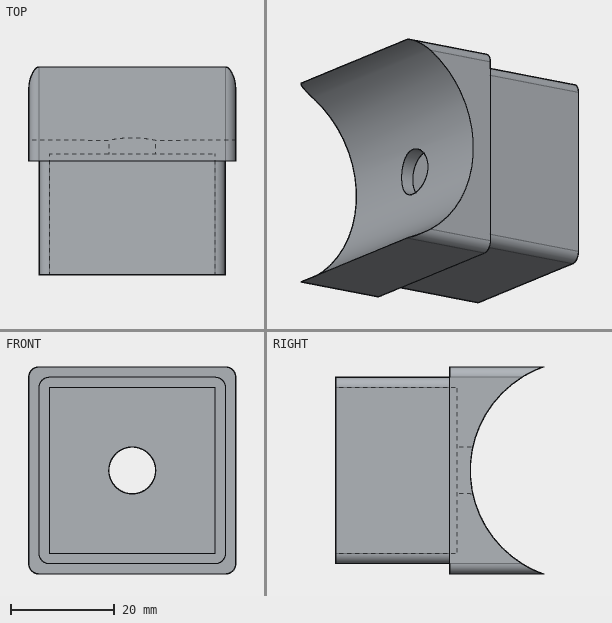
import cadquery as cq
import math

head_width = 40.0
tube_radius = 21.2
web_thickness = 4.0

plug_width = 36.0
plug_length = 22.0
plug_wall = 2.0
pocket_depth = 23.4

corner_radius = 2.0
screw_hole_diameter = 9.0

half_width = head_width / 2
saddle_depth = tube_radius - math.sqrt(tube_radius**2 - half_width**2)
head_length = web_thickness + saddle_depth
tube_axis_y = web_thickness + tube_radius
pocket_width = plug_width - 2 * plug_wall


def square_bar(width, y_start, y_end):
    """Square bar centred on the Y axis, from y_start to y_end."""
    length = y_end - y_start
    return cq.Workplane("XY").box(width, length, width).translate((0, (y_start + y_end) / 2, 0))


def rounded_bar(width, y_start, y_end):
    """Square bar with its four long edges rounded."""
    return square_bar(width, y_start, y_end).edges("|Y").fillet(corner_radius)


def cylinder_along(direction, radius, length, center):
    """Cylinder of the given length, centred on a point."""
    axis = cq.Vector(*direction)
    start = cq.Vector(*center) - axis * (length / 2)
    return cq.Workplane(cq.Solid.makeCylinder(radius, length, start, axis))


def make_head():
    """Rounded square block with a concave saddle across its +Y end."""
    block = rounded_bar(head_width, 0, head_length)
    tube = cylinder_along((1, 0, 0), tube_radius, 2 * head_width, (0, tube_axis_y, 0))
    return block.cut(tube)


def make_plug():
    return rounded_bar(plug_width, -plug_length, 0)


def make_pocket():
    """Square cavity open at the plug's free end."""
    return square_bar(pocket_width, -plug_length, pocket_depth - plug_length)


def make_screw_hole():
    through_length = 2 * (plug_length + head_length)
    return cylinder_along((0, 1, 0), screw_hole_diameter / 2, through_length, (0, 0, 0))


result = make_head().union(make_plug()).cut(make_pocket()).cut(make_screw_hole())